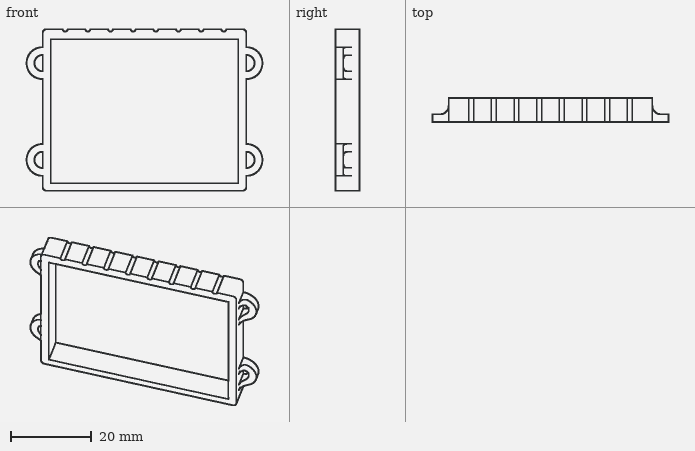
import cadquery as cq

overall_width = 58.5
depth = 6.0
height = 40.1
corner_radius = 1.0

side_wall = 2.05
top_wall = 2.5
bottom_wall = 1.95

lug_radius = 4.0
lug_hole_radius = 2.0
lug_thickness = 2.0
lug_fillet_radius = 2.0
lower_lug_z = 7.65
lug_pitch = 24.0

groove_count = 8
groove_pitch = 5.6
groove_radius = 0.6

frame_width = overall_width - 2 * lug_radius
half_width = frame_width / 2
lug_overlap = side_wall / 2


def make_frame():
    """Rectangular ring with rounded outer corners and sharp inner ones."""
    opening_height = height - top_wall - bottom_wall
    outer = (
        cq.Workplane("XY")
        .box(frame_width, depth, height, centered=(True, False, False))
        .edges("|Y")
        .fillet(corner_radius)
    )
    opening = (
        cq.Workplane("XY", origin=(0, 0, bottom_wall))
        .box(frame_width - 2 * side_wall, depth, opening_height, centered=(True, False, False))
    )
    return outer.cut(opening)


def make_grooves():
    """Row of round-bottomed grooves running through the depth along the top edge."""
    first_x = -groove_pitch * (groove_count - 1) / 2
    centers = [(first_x + i * groove_pitch, 0) for i in range(groove_count)]
    return (
        cq.Workplane("XZ", origin=(0, 0, height))
        .pushPoints(centers)
        .circle(groove_radius)
        .extrude(-depth)
    )


def make_right_lug(center_z):
    """Half-round eyelet on the +X side, with a concave fillet against the wall."""
    fillet_top = lug_thickness + lug_fillet_radius
    ring = (
        cq.Workplane("XZ", origin=(half_width, 0, center_z))
        .circle(lug_radius)
        .circle(lug_hole_radius)
        .extrude(-fillet_top)
    )
    profile = (
        cq.Workplane("XY", origin=(half_width, 0, center_z - lug_radius))
        .moveTo(-lug_overlap, 0)
        .lineTo(lug_radius, 0)
        .lineTo(lug_radius, lug_thickness)
        .lineTo(lug_fillet_radius, lug_thickness)
        .radiusArc((0, fillet_top), lug_fillet_radius)
        .lineTo(-lug_overlap, fillet_top)
        .close()
        .extrude(2 * lug_radius)
    )
    return ring.intersect(profile)


result = make_frame().cut(make_grooves())
for lug_z in (lower_lug_z, lower_lug_z + lug_pitch):
    right_lug = make_right_lug(lug_z)
    result = result.union(right_lug).union(right_lug.mirror("YZ"))